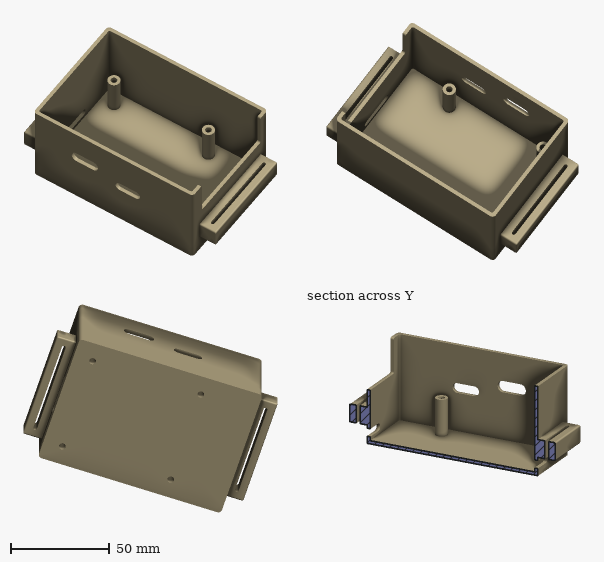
import cadquery as cq

BOX_LENGTH = 98.0
BOX_WIDTH = 68.0
BOX_HEIGHT = 49.0
WALL = 2.0
FLOOR = 2.0
OUTER_CORNER_RADIUS = 2.0
INNER_CORNER_RADIUS = 1.0

POST_DIAMETER = 6.7
POST_HOLE_DIAMETER = 3.4
POST_HEIGHT = 20.0
POST_SPACING_X = 58.0
POST_SPACING_Y = 49.0
POST_PATTERN_CENTRE_X = -10.0

LUG_REACH = 10.0
LUG_WIDTH = 56.0
LUG_HEIGHT = 10.0
LUG_BOTTOM = 10.0
LUG_FILLET = 0.8
STRAP_SLOT_LENGTH = 48.3
STRAP_SLOT_WIDTH = 2.0

END_SLOT_LENGTH = 21.2
END_SLOT_HEIGHT = 4.2
END_SLOT_CENTRE_Z = 6.2

CONNECTOR_SLOTS = [
    (-17.3, 31.0, 16.2, 6.2),
    (9.0, 25.5, 15.1, 5.3),
]

NOTCH_Y_MIN = -25.8
NOTCH_Y_MAX = 27.5
NOTCH_BOTTOM = 29.6
NOTCH_CORNER_RADIUS = 1.0


def make_box():
    """Shell with rounded vertical corners and a flat floor."""
    outer = (
        cq.Workplane("XY")
        .rect(BOX_LENGTH, BOX_WIDTH)
        .extrude(BOX_HEIGHT)
        .edges("|Z")
        .fillet(OUTER_CORNER_RADIUS)
    )
    cavity = (
        cq.Workplane("XY", origin=(0, 0, FLOOR))
        .rect(BOX_LENGTH - 2 * WALL, BOX_WIDTH - 2 * WALL)
        .extrude(BOX_HEIGHT - FLOOR)
        .edges("|Z")
        .fillet(INNER_CORNER_RADIUS)
    )
    return outer.cut(cavity)


def make_post_cylinders(diameter, bottom, top):
    """One cylinder at each of the four standoff positions."""
    return (
        cq.Workplane("XY", origin=(POST_PATTERN_CENTRE_X, 0, bottom))
        .rect(POST_SPACING_X, POST_SPACING_Y, forConstruction=True)
        .vertices()
        .circle(diameter / 2)
        .extrude(top - bottom)
    )


def make_lug(side, rounded_edges):
    """Rounded bar with a vertical strap slot; side is +1 or -1 along X."""
    centre_x = side * (BOX_LENGTH + LUG_REACH) / 2
    bar = (
        cq.Workplane("XY", origin=(centre_x, 0, LUG_BOTTOM))
        .rect(LUG_REACH, LUG_WIDTH)
        .extrude(LUG_HEIGHT)
        .edges(rounded_edges)
        .fillet(LUG_FILLET)
    )
    strap_slot = (
        cq.Workplane("XY", origin=(centre_x, 0, LUG_BOTTOM))
        .slot2D(STRAP_SLOT_LENGTH, STRAP_SLOT_WIDTH, 90)
        .extrude(LUG_HEIGHT)
    )
    return bar.cut(strap_slot)


def make_end_slot():
    """Cutter that crosses the whole box along X."""
    return (
        cq.Workplane("YZ", origin=(0, 0, END_SLOT_CENTRE_Z))
        .slot2D(END_SLOT_LENGTH, END_SLOT_HEIGHT)
        .extrude(BOX_LENGTH / 2, both=True)
    )


def make_connector_slot(centre_x, centre_z, length, height):
    """Cutter through the -Y wall only."""
    return (
        cq.Workplane("XZ", origin=(centre_x, WALL - BOX_WIDTH / 2, centre_z))
        .slot2D(length, height)
        .extrude(WALL)
    )


def make_notch():
    """Cutter for the +X wall: inner bottom corners and outer top corners are rounded."""
    r = NOTCH_CORNER_RADIUS
    return (
        cq.Workplane("YZ", origin=(BOX_LENGTH / 2 - WALL, 0, 0))
        .moveTo(NOTCH_Y_MIN - r, BOX_HEIGHT)
        .radiusArc((NOTCH_Y_MIN, BOX_HEIGHT - r), r)
        .lineTo(NOTCH_Y_MIN, NOTCH_BOTTOM + r)
        .radiusArc((NOTCH_Y_MIN + r, NOTCH_BOTTOM), -r)
        .lineTo(NOTCH_Y_MAX - r, NOTCH_BOTTOM)
        .radiusArc((NOTCH_Y_MAX, NOTCH_BOTTOM + r), -r)
        .lineTo(NOTCH_Y_MAX, BOX_HEIGHT - r)
        .radiusArc((NOTCH_Y_MAX + r, BOX_HEIGHT), r)
        .close()
        .extrude(WALL)
    )


post_top = FLOOR + POST_HEIGHT

result = make_box()
result = result.union(make_lug(-1, "|X or <X"))
result = result.union(make_lug(1, "|X or (>X and |Y) or (>X and >Y)"))
result = result.union(make_post_cylinders(POST_DIAMETER, FLOOR, post_top))
result = result.cut(make_post_cylinders(POST_HOLE_DIAMETER, 0, post_top))
result = result.cut(make_end_slot())
for connector_slot in CONNECTOR_SLOTS:
    result = result.cut(make_connector_slot(*connector_slot))
result = result.cut(make_notch())